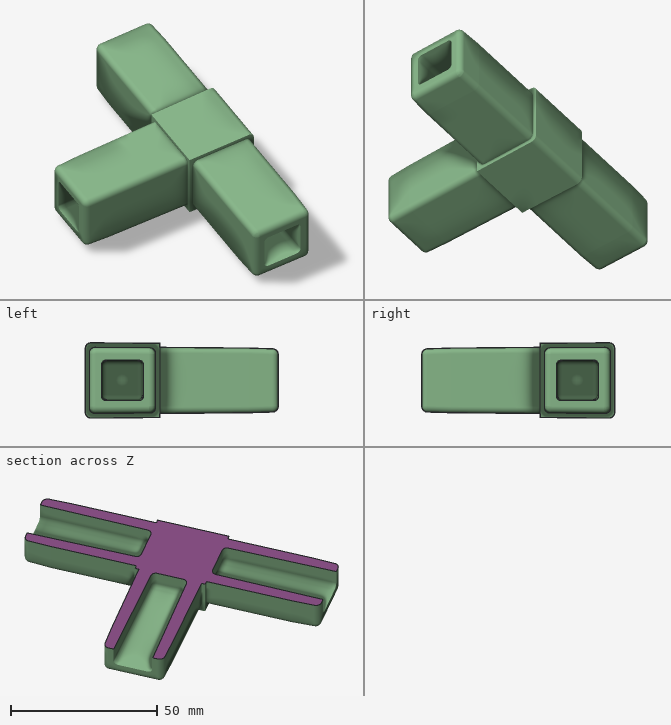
import cadquery as cq
import math

hub_width = 25.8
hub_depth = 25.5
hub_band_depth = 3.4

body_draft = math.tan(math.radians(0.5))

overall_length = 106.7
overall_depth = 66.0
leg_size = 22.7
tip_length = 10.0
tip_draft = math.tan(math.radians(1.7))
edge_radius = 2.0

side_bore_mouth = (14.4, 13.9)
side_bore_floor = (13.5, 13.2)
front_bore_mouth = (13.9, 13.9)
front_bore_floor = (12.6, 12.6)
bore_radius = 1.6

hub_half_depth = hub_depth / 2
side_reach = overall_length / 2
front_reach = overall_depth - hub_half_depth
side_bore_depth = side_reach - hub_width / 2
front_bore_depth = front_reach - hub_half_depth


def trapezoid(length, start_height, end_height):
    """Outline centred on the origin, its height changing from -length/2 to +length/2."""
    return [
        (-length / 2, -start_height / 2),
        (length / 2, -end_height / 2),
        (length / 2, end_height / 2),
        (-length / 2, start_height / 2),
    ]


def rectangle(length, height):
    return trapezoid(length, height, height)


def frustum(plane, start, start_outline, end, end_outline):
    """Flat-sided solid between two outlines set at distances along the plane's normal."""
    return (
        cq.Workplane(plane)
        .workplane(offset=start)
        .polyline(start_outline)
        .close()
        .workplane(offset=end - start)
        .polyline(end_outline)
        .close()
        .loft(ruled=True)
    )


def make_hub():
    """Rounded along the top and bottom back edges; the XZ plane's normal points to the front (-Y)."""
    band_start = hub_half_depth - hub_band_depth
    front_width = hub_width - 2 * (hub_depth - hub_band_depth) * body_draft
    full_square = rectangle(hub_width, hub_width)
    front_square = rectangle(front_width, front_width)
    band = frustum("XZ", -hub_half_depth, full_square, -band_start, full_square)
    drafted_block = frustum("XZ", -band_start, full_square, hub_half_depth, front_square)
    return band.union(drafted_block).faces(">Y").edges("|X").fillet(edge_radius)


def make_right_leg():
    """Constant section whose top and bottom draft with the hub, then the tip."""
    shoulder = side_reach - tip_length
    shrink = 2 * tip_length * tip_draft
    front_height = leg_size - 2 * leg_size * body_draft
    section = trapezoid(leg_size, front_height, leg_size)
    end_section = trapezoid(leg_size - shrink, front_height - shrink, leg_size - shrink)
    leg = frustum("YZ", 0, section, shoulder, section)
    leg = leg.union(frustum("YZ", shoulder, section, side_reach, end_section))
    return leg.edges("(not #X) or >X").fillet(edge_radius)


def make_front_leg():
    """Square section that drafts from the origin outwards, then the tip."""
    shoulder = front_reach - tip_length
    root_size = leg_size + 2 * hub_half_depth * body_draft
    shoulder_size = root_size - 2 * shoulder * body_draft
    end_size = shoulder_size - 2 * tip_length * tip_draft
    root = rectangle(root_size, root_size)
    shoulder_section = rectangle(shoulder_size, shoulder_size)
    leg = frustum("XZ", 0, root, shoulder, shoulder_section)
    leg = leg.union(frustum("XZ", shoulder, shoulder_section, front_reach, rectangle(end_size, end_size)))
    return leg.edges("(not #Y) or <Y").fillet(edge_radius)


def make_right_bore():
    """Tapered pocket with rounded corners and a rounded floor, open at the leg's end."""
    floor = side_reach - side_bore_depth
    pocket = frustum("YZ", floor, rectangle(*side_bore_floor), side_reach, rectangle(*side_bore_mouth))
    return pocket.edges("(not #X) or <X").fillet(bore_radius)


def make_front_bore():
    """Same kind of pocket as the side bores, but square and more tapered."""
    floor = front_reach - front_bore_depth
    pocket = frustum("XZ", floor, rectangle(*front_bore_floor), front_reach, rectangle(*front_bore_mouth))
    return pocket.edges("(not #Y) or >Y").fillet(bore_radius)


right_leg = make_right_leg()
right_bore = make_right_bore()

result = make_hub().union(make_front_leg()).cut(make_front_bore())
for leg, bore in ((right_leg, right_bore), (right_leg.mirror("YZ"), right_bore.mirror("YZ"))):
    result = result.union(leg).cut(bore)